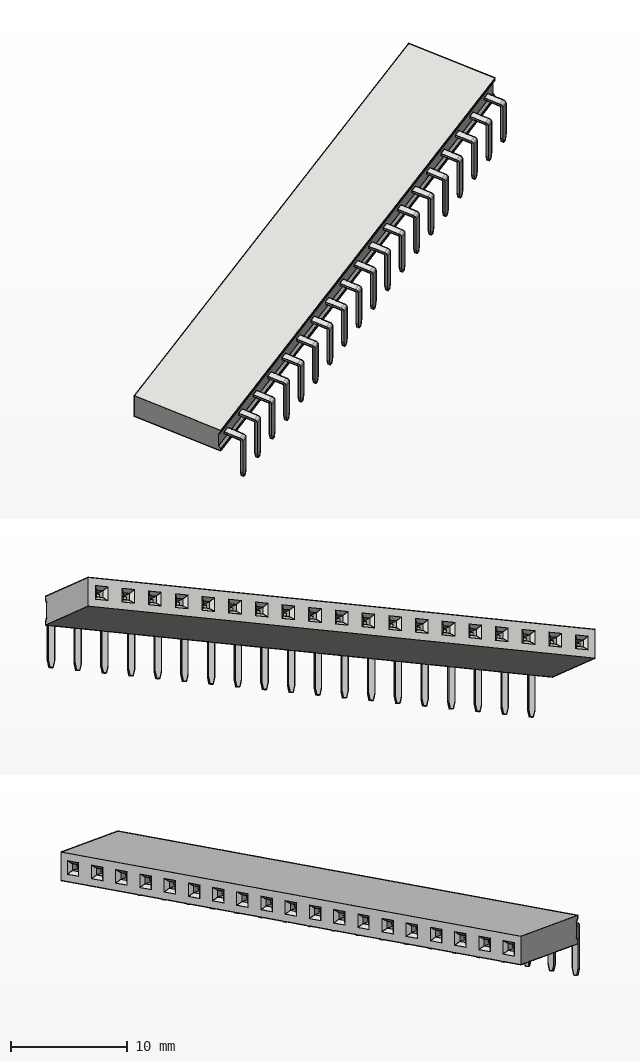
import cadquery as cq

pin_count = 19
pitch = 2.54
housing_length = pin_count * pitch
housing_depth = 8.5
housing_height = pitch
overall_depth = 10.13
overall_height = 5.84

channel_depth = 0.2
channel_mouth_height = 2.0
channel_floor_height = 1.4

pin_width = 0.6
pin_thickness = 0.25
bend_radius = 0.3
tip_length = 0.6
tip_width = 0.3
contact_inset = 1.0

funnel_mouth = 1.2
funnel_throat = pin_width
funnel_depth = 0.35
socket_depth = 6.0

pin_bottom = housing_height / 2 - overall_height
pin_ys = [(i - (pin_count - 1) / 2) * pitch for i in range(pin_count)]


def make_housing():
    """Bar with a channel along its rear face."""
    half_height = housing_height / 2
    half_mouth = channel_mouth_height / 2
    half_floor = channel_floor_height / 2
    channel_x = housing_depth - channel_depth
    return (
        cq.Workplane("XZ")
        .moveTo(0, -half_height)
        .lineTo(housing_depth, -half_height)
        .lineTo(housing_depth, -half_mouth)
        .lineTo(channel_x, -half_floor)
        .lineTo(channel_x, half_floor)
        .lineTo(housing_depth, half_mouth)
        .lineTo(housing_depth, half_height)
        .lineTo(0, half_height)
        .close()
        .extrude(housing_length / 2, both=True)
    )


def make_socket(y):
    """Tapered entry and square hole, to be cut from the socket face."""
    funnel = (
        cq.Workplane("YZ")
        .center(y, 0)
        .rect(funnel_mouth, funnel_mouth)
        .workplane(offset=funnel_depth)
        .rect(funnel_throat, funnel_throat)
        .loft(ruled=True)
    )
    hole = cq.Workplane("YZ").center(y, 0).rect(funnel_throat, funnel_throat).extrude(socket_depth)
    return funnel.union(hole)


def make_pin(y):
    """Strip running from inside the socket out of the rear face, bent down to a tapered tip."""
    half_thickness = pin_thickness / 2
    inner_x = overall_depth - pin_thickness
    inner_radius = bend_radius - pin_thickness
    strip = (
        cq.Workplane("XZ", origin=(0, y, 0))
        .moveTo(contact_inset, half_thickness)
        .lineTo(overall_depth - bend_radius, half_thickness)
        .radiusArc((overall_depth, half_thickness - bend_radius), bend_radius)
        .lineTo(overall_depth, pin_bottom)
        .lineTo(inner_x, pin_bottom)
        .lineTo(inner_x, -half_thickness - inner_radius)
        .radiusArc((inner_x - inner_radius, -half_thickness), -inner_radius)
        .lineTo(contact_inset, -half_thickness)
        .close()
        .extrude(pin_width / 2, both=True)
    )
    front_outline = (
        cq.Workplane("YZ")
        .moveTo(y - pin_width / 2, half_thickness)
        .lineTo(y - pin_width / 2, pin_bottom + tip_length)
        .lineTo(y - tip_width / 2, pin_bottom)
        .lineTo(y + tip_width / 2, pin_bottom)
        .lineTo(y + pin_width / 2, pin_bottom + tip_length)
        .lineTo(y + pin_width / 2, half_thickness)
        .close()
        .extrude(overall_depth)
    )
    return strip.intersect(front_outline)


result = make_housing()
for pin_y in pin_ys:
    result = result.cut(make_socket(pin_y)).union(make_pin(pin_y))